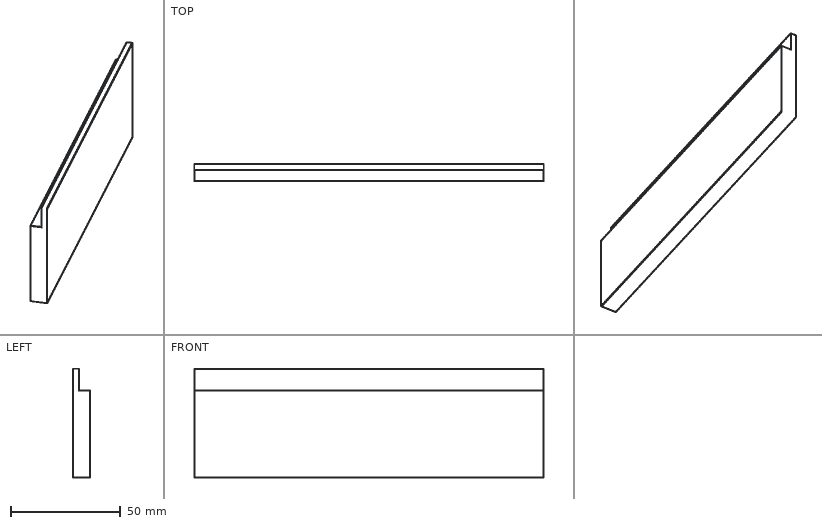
import cadquery as cq

length = 160.0
thickness = 8.0
height = 50.0

tongue_thickness = 2.9
tongue_height = 10.0

corner_radius = 0.6
edge_chamfer = 0.24

search_margin = 0.2

ledge_z = height - tongue_height
tongue_front_y = thickness - tongue_thickness


def stepped_panel():
    """Panel with a rebate along the upper front edge."""
    profile = [
        (0, 0),
        (thickness, 0),
        (thickness, height),
        (tongue_front_y, height),
        (tongue_front_y, ledge_z),
        (0, ledge_z),
    ]
    return cq.Workplane("YZ").polyline(profile).close().extrude(length)


def round_outline_corners(panel):
    """Round the four corners of the panel outline."""
    return panel.faces(">Z or <Z").edges("|Y").fillet(corner_radius)


def edges_at_ledge_height(front_y, back_y):
    """Select the edges at ledge height centred between two depths."""
    return cq.selectors.BoxSelector(
        (-search_margin, front_y - search_margin, ledge_z - search_margin),
        (length + search_margin, back_y + search_margin, ledge_z + search_margin),
    )


def chamfer_outer_edges(panel):
    """Chamfer every convex edge, leaving the inner corner of the rebate sharp."""
    inner_corner = edges_at_ledge_height(tongue_front_y, tongue_front_y)
    ledge_edges = edges_at_ledge_height(0, tongue_front_y)
    corner_seams = cq.selectors.StringSyntaxSelector("|Y") - ledge_edges
    outer_edges = panel.edges(-(inner_corner + corner_seams))
    return outer_edges.chamfer(edge_chamfer)


result = chamfer_outer_edges(round_outline_corners(stepped_panel()))